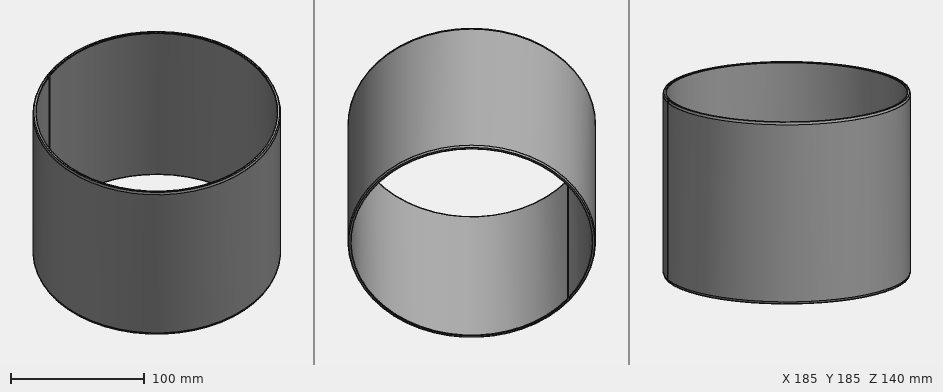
import cadquery as cq

outer_diameter = 185.0
height = 140.0
wall = 2.4
slit_angle = 1.0
outer_chamfer_height = 1.8
outer_chamfer_inset = 0.67
inner_chamfer_height = 0.5
inner_chamfer_inset = 0.25

outer_radius = outer_diameter / 2
inner_radius = outer_radius - wall
rim_outer_radius = outer_radius - outer_chamfer_inset
rim_inner_radius = inner_radius + inner_chamfer_inset

wall_section = [
    (-outer_radius, outer_chamfer_height),
    (-rim_outer_radius, 0),
    (-rim_inner_radius, 0),
    (-inner_radius, inner_chamfer_height),
    (-inner_radius, height - inner_chamfer_height),
    (-rim_inner_radius, height),
    (-rim_outer_radius, height),
    (-outer_radius, height - outer_chamfer_height),
]

result = (
    cq.Workplane("XZ")
    .polyline(wall_section)
    .close()
    .revolve(360 - slit_angle, (0, 0, 0), (0, 1, 0))
)